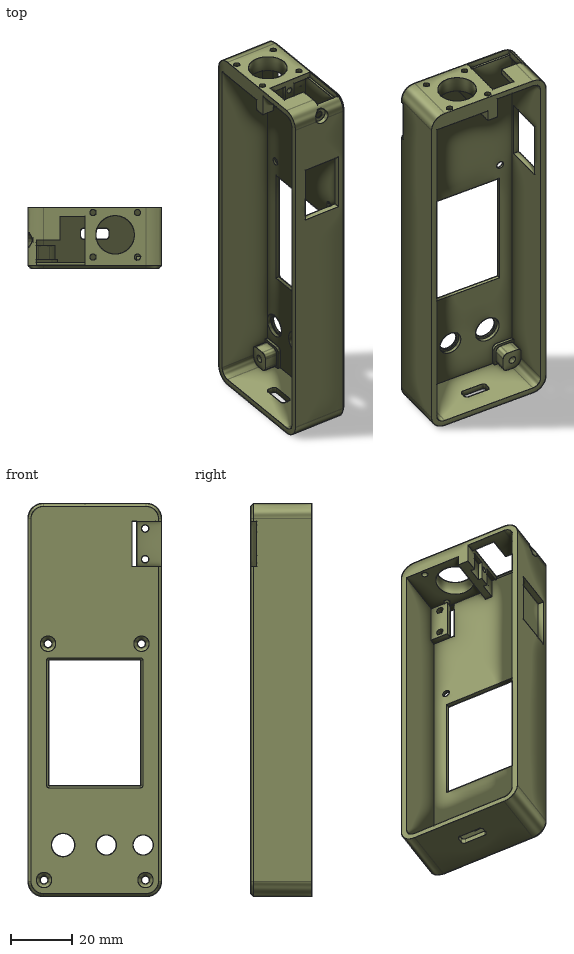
import cadquery as cq

WIDTH = 43.5
DEPTH = 19.95
HEIGHT = 128.0
WALL = 2.0
CORNER_RADIUS = 5.0
FRONT_CHAMFER = 1.0
HALF_WIDTH = WIDTH / 2
TOP = HEIGHT / 2
BOTTOM = -TOP
INNER_HALF_WIDTH = HALF_WIDTH - WALL

WINDOW_WIDTH = 29.9
WINDOW_HEIGHT = 40.8
WINDOW_Z = -7.45
WINDOW_CHAMFER = 0.75
WINDOW_CORNER = 0.9

CONTROL_Z = -47.2
CONTROL_RIM = 0.7
CONTROL_COUNTERBORE = 1.4
CONTROLS = [(-10.3, 7.5), (3.75, 6.5), (15.75, 6.5)]

UPPER_SCREWS = (15.2, 18.3)
LOWER_SCREWS = (16.5, -58.6)
SCREW_HOLE = 2.5
SCREW_HEAD = 5.0

POST_SIZE = 7.0
POST_FILLET = 1.75
POST_END_Y = 7.5
POST_FOOT_SIZE = 8.6
POST_FOOT_END_Y = 3.0

MOUNT_X = 6.65
MOUNT_Y = 11.0
MOUNT_BORE = 12.5
MOUNT_SCREW_SPACING = 14.5
MOUNT_SCREW_HOLE = 2.0
MOUNT_THICKNESS = 5.5
MOUNT_LEFT = -3.25
RIB_RIGHT = MOUNT_X - MOUNT_BORE / 2
RIB_HEIGHT = 9.4
RIB_RELIEF = 1.3
RIB_PAD_FRONT = 7.5
RIB_PAD_BACK = 10.9
RIB_BACK_BAND_Y = 15.7

OPENING_LEFT = -19.0
OPENING_STEP_X = -11.3
OPENING_FRONT = 1.25
OPENING_STEP_Y = 9.3
OPENING_BACK = 17.0

SIDE_WINDOW_FRONT = 2.8
SIDE_WINDOW_BACK = 16.0
SIDE_WINDOW_TOP = TOP - 22.5
SIDE_WINDOW_HEIGHT = 19.7

SIDE_SCREW_Y = 9.35
SIDE_SCREW_Z = TOP - 4.0
SIDE_SCREW_CLEARANCE = 2.4
SIDE_SCREW_PILOT = 1.9
SIDE_SCREW_HEAD = 4.8
SIDE_SCREW_HEAD_DEPTH = 1.7
SIDE_SCREW_RIB_DEPTH = 3.0

RECESS_LEFT = 12.15
RECESS_TOP = TOP - 5.9
RECESS_HEIGHT = 14.6
PLATE_LEFT = 13.6
PLATE_THICKNESS = 2.0
PLATE_HOLE = 2.3
PLATE_HOLE_X = 16.4
PLATE_HOLE_SPACING = 10.0
PLATE_HOLE_MIDDLE_Z = RECESS_TOP - RECESS_HEIGHT / 2

SLOT_Y = 11.35
SLOT_LENGTH = 9.2
SLOT_WIDTH = 3.5
SLOT_FILLET = 1.0


def box(x0, x1, y0, y1, z0, z1):
    """Box between two corners."""
    return cq.Workplane("XY").box(x1 - x0, y1 - y0, z1 - z0, centered=False).translate((x0, y0, z0))


def rod_y(x, z, diameter, y0, y1):
    """Cylinder along Y."""
    return cq.Workplane("XZ", origin=(x, y0, z)).circle(diameter / 2).extrude(y0 - y1)


def rod_z(x, y, diameter, z0, z1):
    """Cylinder along Z."""
    return cq.Workplane("XY", origin=(x, y, z0)).circle(diameter / 2).extrude(z1 - z0)


def rod_x(y, z, diameter, x0, x1):
    """Cylinder along X."""
    return cq.Workplane("YZ", origin=(x0, y, z)).circle(diameter / 2).extrude(x1 - x0)


def shell():
    """Rounded case with a chamfered front and an open back."""
    outer = box(-HALF_WIDTH, HALF_WIDTH, 0, DEPTH, BOTTOM, TOP)
    outer = outer.edges("|Y").fillet(CORNER_RADIUS).faces("<Y").chamfer(FRONT_CHAMFER)
    inner = box(-INNER_HALF_WIDTH, INNER_HALF_WIDTH, WALL, DEPTH, BOTTOM + WALL, TOP - WALL)
    return outer.cut(inner.edges("|Y").fillet(CORNER_RADIUS - WALL))


def mount_block():
    """Thick top around the round mount, with a hanging rib on its left side."""
    block = box(MOUNT_LEFT, INNER_HALF_WIDTH, WALL, DEPTH, TOP - MOUNT_THICKNESS, TOP - WALL)
    rib_bottom = TOP - RIB_HEIGHT
    rib = box(MOUNT_LEFT, RIB_RIGHT, WALL, DEPTH, rib_bottom, TOP - WALL)
    relieved = MOUNT_LEFT + RIB_RELIEF
    block = block.union(rib)
    for front, back in ((WALL, RIB_PAD_FRONT), (RIB_PAD_BACK, RIB_BACK_BAND_Y)):
        block = block.cut(box(MOUNT_LEFT, relieved, front, back, rib_bottom, TOP - WALL))
    return block


def mount_holes():
    """Central bore and the four screw holes around it."""
    bottom = TOP - MOUNT_THICKNESS
    holes = rod_z(MOUNT_X, MOUNT_Y, MOUNT_BORE, TOP - RIB_HEIGHT, TOP)
    offset = MOUNT_SCREW_SPACING / 2
    for x in (MOUNT_X - offset, MOUNT_X + offset):
        for y in (MOUNT_Y - offset, MOUNT_Y + offset):
            holes = holes.union(rod_z(x, y, MOUNT_SCREW_HOLE, bottom, TOP))
    return holes


def top_opening():
    """L-shaped opening through the top wall."""
    bottom = TOP - WALL
    wide = box(OPENING_LEFT, MOUNT_LEFT, OPENING_FRONT, OPENING_STEP_Y, bottom, TOP)
    deep = box(OPENING_STEP_X, MOUNT_LEFT, OPENING_FRONT, OPENING_BACK, bottom, TOP)
    corner = box(OPENING_LEFT, OPENING_STEP_X, WALL, OPENING_STEP_Y, TOP - CORNER_RADIUS, TOP)
    return wide.union(deep).union(corner)


def lower_post(x, z):
    """Rounded square screw post on a wider foot."""
    def block(size, end):
        half = size / 2
        body = box(x - half, x + half, WALL, end, z - half, z + half)
        return body.edges("|Y").fillet(POST_FILLET)

    envelope = box(-INNER_HALF_WIDTH, INNER_HALF_WIDTH, WALL, DEPTH, BOTTOM + WALL, TOP)
    envelope = envelope.edges("|Y and <Z").fillet(CORNER_RADIUS - WALL)
    return block(POST_SIZE, POST_END_Y).union(block(POST_FOOT_SIZE, POST_FOOT_END_Y)).intersect(envelope)


def countersunk_hole(x, z):
    """Screw hole with a 90 degree countersink at the front face."""
    cone_depth = (SCREW_HEAD - SCREW_HOLE) / 2
    cone = cq.Solid.makeCone(
        SCREW_HEAD / 2, SCREW_HOLE / 2, cone_depth, cq.Vector(x, 0, z), cq.Vector(0, 1, 0)
    )
    return rod_y(x, z, SCREW_HOLE, 0, POST_END_Y).union(cq.Workplane(cone))


def control_hole(x, diameter):
    """Hole through the front panel, counterbored from the inside."""
    counterbore = rod_y(x, CONTROL_Z, diameter + CONTROL_COUNTERBORE, CONTROL_RIM, WALL)
    return rod_y(x, CONTROL_Z, diameter, 0, WALL).union(counterbore)


def display_window():
    """Window through the front panel, with a chamfered rim."""
    opening = cq.Workplane("XZ", origin=(0, 0, WINDOW_Z)).rect(WINDOW_WIDTH, WINDOW_HEIGHT).extrude(-WALL)
    rim = (
        cq.Workplane("XZ", origin=(0, -WINDOW_CHAMFER, WINDOW_Z))
        .rect(WINDOW_WIDTH + 2 * WINDOW_CHAMFER, WINDOW_HEIGHT + 2 * WINDOW_CHAMFER)
        .extrude(-2 * WINDOW_CHAMFER)
        .edges("|Y")
        .fillet(WINDOW_CORNER)
        .faces(">Y")
        .chamfer(WINDOW_CHAMFER)
    )
    return opening.union(rim)


def side_screw():
    """Counterbored hole in the left wall and the pilot hole it lines up with in the rib."""
    head_end = -HALF_WIDTH + SIDE_SCREW_HEAD_DEPTH
    rib_end = MOUNT_LEFT + SIDE_SCREW_RIB_DEPTH
    head = rod_x(SIDE_SCREW_Y, SIDE_SCREW_Z, SIDE_SCREW_HEAD, -HALF_WIDTH, head_end)
    clearance = rod_x(SIDE_SCREW_Y, SIDE_SCREW_Z, SIDE_SCREW_CLEARANCE, -HALF_WIDTH, OPENING_STEP_X)
    pilot = rod_x(SIDE_SCREW_Y, SIDE_SCREW_Z, SIDE_SCREW_PILOT, OPENING_STEP_X, rib_end)
    return head.union(clearance).union(pilot)


def side_window():
    """Rectangular window through the left wall."""
    bottom = SIDE_WINDOW_TOP - SIDE_WINDOW_HEIGHT
    return box(-HALF_WIDTH, -INNER_HALF_WIDTH, SIDE_WINDOW_FRONT, SIDE_WINDOW_BACK, bottom, SIDE_WINDOW_TOP)


def add_recess(body):
    """Cut the recess at the right edge and put the drilled plate behind it."""
    bottom = RECESS_TOP - RECESS_HEIGHT
    plate_back = WALL + PLATE_THICKNESS
    body = body.cut(box(RECESS_LEFT, HALF_WIDTH, 0, WALL, bottom, RECESS_TOP))
    body = body.union(box(PLATE_LEFT, HALF_WIDTH, WALL, plate_back, bottom, RECESS_TOP))
    for side in (-1, 1):
        z = PLATE_HOLE_MIDDLE_Z + side * PLATE_HOLE_SPACING / 2
        body = body.cut(rod_y(PLATE_HOLE_X, z, PLATE_HOLE, WALL, plate_back))
    return body


def bottom_slot():
    """Rounded connector slot through the bottom wall."""
    slot = cq.Workplane("XY", origin=(0, SLOT_Y, BOTTOM)).rect(SLOT_LENGTH, SLOT_WIDTH).extrude(WALL)
    return slot.edges("|Z").fillet(SLOT_FILLET)


result = shell().union(mount_block())
for side in (-1, 1):
    result = result.union(lower_post(side * LOWER_SCREWS[0], LOWER_SCREWS[1]))
for distance, z in (UPPER_SCREWS, LOWER_SCREWS):
    for side in (-1, 1):
        result = result.cut(countersunk_hole(side * distance, z))
for x, diameter in CONTROLS:
    result = result.cut(control_hole(x, diameter))
for cutter in (display_window, mount_holes, top_opening, side_screw, side_window, bottom_slot):
    result = result.cut(cutter())
result = add_recess(result)